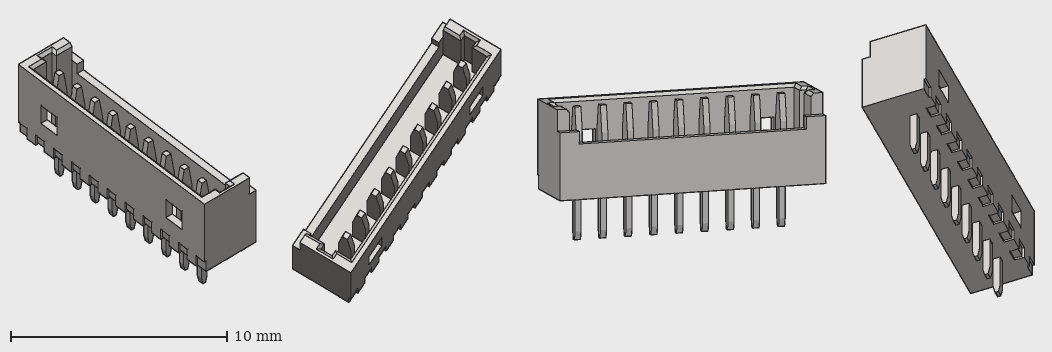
import cadquery as cq

length = 13.0
width = 3.2
height = 4.22
half_length = length / 2
half_width = width / 2

end_wall = 0.6
front_wall = 0.39
back_wall = 0.4
floor_height = 0.78
cavity_half_length = half_length - end_wall
cavity_front = front_wall - half_width
cavity_back = half_width - back_wall

back_wall_height = 2.63
corner_height = 3.21
corner_length = 0.95

slot_depth = 0.31
slot_front = -0.39
slot_back = 0.22
lead_in = 0.15

pin_count = 9
pin_pitch = 1.25
pin_thickness = 0.3
pin_y = -0.4
tail_width = 0.35
tail_length = 2.28
tail_tip_width = 0.17
tail_tip_length = 0.39
blade_width = 0.7
blade_tip_width = 0.29
blade_root = floor_height / 2
blade_top = 4.0
blade_taper_start = 2.73
pin_positions = [(i - (pin_count - 1) / 2) * pin_pitch for i in range(pin_count)]

window_size = 1.1
window_bottom = 1.61
window_x = pin_positions[-1] - pin_pitch / 2

recess_width = 0.6
recess_height = 0.64
recess_depth = 0.1
groove_height = 0.12
groove_depth = 0.39


def block(x_min, x_max, y_min, y_max, z_min, z_max):
    """Box given by its limits along each axis."""
    size = (x_max - x_min, y_max - y_min, z_max - z_min)
    return cq.Workplane("XY").box(*size, centered=False).translate((x_min, y_min, z_min))


def lead_in_block(x_half, y_min, y_max):
    """Lead-in cutter: the given rectangle widens by lead_in on every side up to the top face."""
    y_middle = (y_min + y_max) / 2
    depth = y_max - y_min
    return (
        cq.Workplane("XY", origin=(0, y_middle, height - lead_in))
        .rect(2 * x_half, depth)
        .workplane(offset=lead_in)
        .rect(2 * (x_half + lead_in), depth + 2 * lead_in)
        .loft(ruled=True)
    )


def make_housing():
    body = block(-half_length, half_length, -half_width, half_width, 0, height)

    corner_inner = half_length - corner_length
    body = body.cut(block(-half_length, half_length, cavity_back, half_width, corner_height, height))
    body = body.cut(block(-corner_inner, corner_inner, cavity_back, half_width, back_wall_height, height))

    slot_half_length = cavity_half_length + slot_depth
    body = body.cut(
        block(-cavity_half_length, cavity_half_length, cavity_front, cavity_back, floor_height, height)
    )
    body = body.cut(block(-slot_half_length, slot_half_length, slot_front, slot_back, floor_height, height))
    body = body.cut(lead_in_block(cavity_half_length, cavity_front, cavity_back))
    return body.cut(lead_in_block(slot_half_length, slot_front, slot_back))


def cut_windows(body):
    window_top = window_bottom + window_size
    for x in (-window_x, window_x):
        left = x - window_size / 2
        body = body.cut(
            block(left, left + window_size, -half_width, cavity_front, window_bottom, window_top)
        )
    return body


def cut_recesses(body):
    recess_back = recess_depth - half_width
    for x in pin_positions:
        left = x - recess_width / 2
        right = x + recess_width / 2
        body = body.cut(block(left, right, -half_width, recess_back, 0, recess_height))
        body = body.cut(block(left, right, recess_back, recess_back + groove_depth, 0, groove_height))
    for left in (-half_length, half_length - recess_width):
        body = body.cut(block(left, left + recess_width, -half_width, recess_back, 0, recess_height))
    return body


def make_pin(x):
    """Wide tapered blade in the cavity, narrow pointed tail below the housing."""
    half_profile = [
        (tail_tip_width / 2, -tail_length),
        (tail_width / 2, tail_tip_length - tail_length),
        (tail_width / 2, blade_root),
        (blade_width / 2, blade_root),
        (blade_width / 2, blade_taper_start),
        (blade_tip_width / 2, blade_top),
    ]
    front_side = [(pin_y - y, z) for y, z in half_profile]
    back_side = [(pin_y + y, z) for y, z in reversed(half_profile)]
    return (
        cq.Workplane("YZ", origin=(x - pin_thickness / 2, 0, 0))
        .polyline(front_side + back_side)
        .close()
        .extrude(pin_thickness)
    )


result = cut_recesses(cut_windows(make_housing()))
for pin_x in pin_positions:
    result = result.union(make_pin(pin_x))